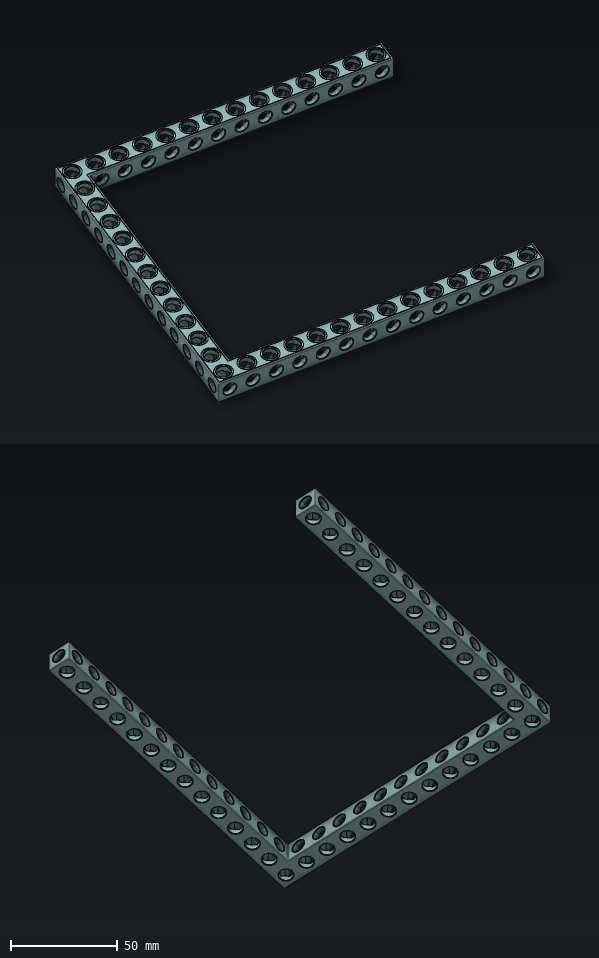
import cadquery as cq
length_y = 175.0
holes_along_y = 14
holes_along_x = 13
hole_diameter = 7.0
hole_chamfer = 0.26
ring_diameter = 9.3
recess_depth = 0.2
rim_width = 1.14
edge_radius = 0.4

pitch = length_y / holes_along_y
beam = pitch
length_x = holes_along_x * pitch
mid_height = beam / 2
x_centres = [(i + 0.5) * pitch for i in range(holes_along_x)]
y_centres = [(j + 0.5) * pitch for j in range(holes_along_y)]


def u_frame(inset, bottom, height):
    """U-shaped slab whose outline lies `inset` inside the frame outline."""
    points = [
        (inset, inset),
        (length_x - inset, inset),
        (length_x - inset, length_y - inset),
        (length_x - beam + inset, length_y - inset),
        (length_x - beam + inset, beam - inset),
        (beam - inset, beam - inset),
        (beam - inset, length_y - inset),
        (inset, length_y - inset),
    ]
    return cq.Workplane("XY", origin=(0, 0, bottom)).polyline(points).close().extrude(height)


def hole_tool(start, direction, length):
    """Cutter for a straight hole that is chamfered at both ends."""
    radius = hole_diameter / 2
    mouth = radius + hole_chamfer
    profile = [
        (0, 0),
        (mouth, 0),
        (radius, hole_chamfer),
        (radius, length - hole_chamfer),
        (mouth, length),
        (0, length),
    ]
    cutter = cq.Workplane("XZ").polyline(profile).close().revolve(360, (0, 0), (0, 1)).val()
    plane = cq.Plane(origin=start, normal=direction)
    return cutter.moved(cq.Location(plane))


arm_columns = (x_centres[0], x_centres[-1])
vertical_centres = [(x, y_centres[0]) for x in x_centres]
for x in arm_columns:
    vertical_centres += [(x, y) for y in y_centres[1:]]

frame = u_frame(0, 0, beam).edges().fillet(edge_radius)

floor_height = beam - recess_depth
rings = (
    cq.Workplane("XY", origin=(0, 0, floor_height))
    .pushPoints(vertical_centres)
    .circle(ring_diameter / 2)
    .extrude(recess_depth)
)
recess = u_frame(rim_width, floor_height, recess_depth).cut(rings)

cutters = [hole_tool((x, y, 0), (0, 0, 1), beam) for x, y in vertical_centres]

for x in x_centres:
    depth = length_y if x in arm_columns else beam
    cutters.append(hole_tool((x, 0, mid_height), (0, 1, 0), depth))

cutters.append(hole_tool((0, y_centres[0], mid_height), (1, 0, 0), length_x))
for y in y_centres[1:]:
    for arm_start in (0, length_x - beam):
        cutters.append(hole_tool((arm_start, y, mid_height), (1, 0, 0), beam))

result = cq.Workplane(frame.cut(recess).val().cut(*cutters))